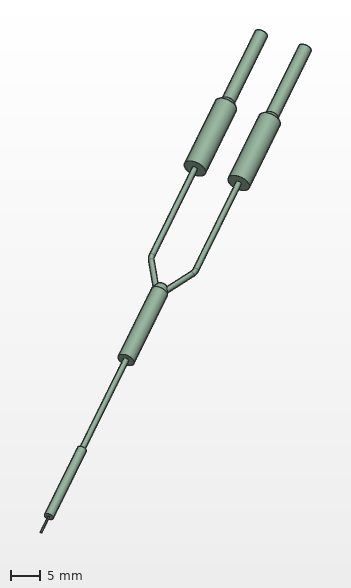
import cadquery as cq
import math

PIN_DIAMETER = 2.3
PLUG_DIAMETER = 4.0
WIRE_DIAMETER = 1.0
HUB_DIAMETER = 3.0
SLEEVE_DIAMETER = 1.6
TIP_DIAMETER = 0.3

TOTAL_LENGTH = 109.7
TIP_LENGTH = 3.5
SLEEVE_LENGTH = 15.0
STEM_LENGTH = 20.0
HUB_LENGTH = 16.5
HUB_TAPER_LENGTH = 1.3
HUB_END_DIAMETER = 2.0

PIN_LENGTH = 15.0
PLUG_TAPER_LENGTH = 1.0
PLUG_BODY_LENGTH = 14.0

PLUG_SPACING = 8.0
BRANCH_ANGLE = 30.0
BEND_RADIUS = 2.0
BRANCH_JOIN_DEPTH = 2.2

sleeve_start = TIP_LENGTH
stem_start = sleeve_start + SLEEVE_LENGTH
hub_start = stem_start + STEM_LENGTH
hub_end = hub_start + HUB_LENGTH
hub_taper_start = hub_end - HUB_TAPER_LENGTH
pin_start = TOTAL_LENGTH - PIN_LENGTH
plug_taper_start = pin_start - PLUG_TAPER_LENGTH
plug_start = plug_taper_start - PLUG_BODY_LENGTH


def revolve_about_y(profile):
    """Revolve a closed profile of (diameter, y) points about the Y axis."""
    outline = [(diameter / 2, y) for diameter, y in profile]
    return cq.Workplane("XY").polyline(outline).close().revolve(360, (0, 0), (0, 1))


def make_probe():
    """Tip, sleeve, stem and tapered hub on the centre axis."""
    return revolve_about_y([
        (0, 0),
        (TIP_DIAMETER, 0),
        (TIP_DIAMETER, sleeve_start),
        (SLEEVE_DIAMETER, sleeve_start),
        (SLEEVE_DIAMETER, stem_start),
        (WIRE_DIAMETER, stem_start),
        (WIRE_DIAMETER, hub_start),
        (HUB_DIAMETER, hub_start),
        (HUB_DIAMETER, hub_taper_start),
        (HUB_END_DIAMETER, hub_end),
        (0, hub_end),
    ])


def make_plug(x):
    """Plug body with a tapered shoulder and a pin."""
    plug = revolve_about_y([
        (0, plug_start),
        (PLUG_DIAMETER, plug_start),
        (PLUG_DIAMETER, plug_taper_start),
        (PIN_DIAMETER, pin_start),
        (PIN_DIAMETER, TOTAL_LENGTH),
        (0, TOTAL_LENGTH),
    ])
    return plug.translate((x, 0, 0))


def make_branch(side):
    """Wire from a plug, bent inward to the hub."""
    angle = math.radians(BRANCH_ANGLE)
    wire_x = PLUG_SPACING / 2
    join_y = hub_end - BRANCH_JOIN_DEPTH
    corner_y = join_y + wire_x / math.tan(angle)
    bend_start_y = corner_y + BEND_RADIUS * math.tan(angle / 2)

    def bend_point(turn):
        x = wire_x - BEND_RADIUS * (1 - math.cos(turn))
        return side * x, bend_start_y - BEND_RADIUS * math.sin(turn)

    path = (
        cq.Workplane("XY")
        .moveTo(side * wire_x, plug_start)
        .lineTo(side * wire_x, bend_start_y)
        .threePointArc(bend_point(angle / 2), bend_point(angle))
        .lineTo(0, join_y)
    )
    profile = cq.Workplane("XZ", origin=(side * wire_x, plug_start, 0)).circle(WIRE_DIAMETER / 2)
    return profile.sweep(path)


result = make_probe()
for side in (-1, 1):
    result = result.union(make_branch(side))
    result = result.union(make_plug(side * PLUG_SPACING / 2))